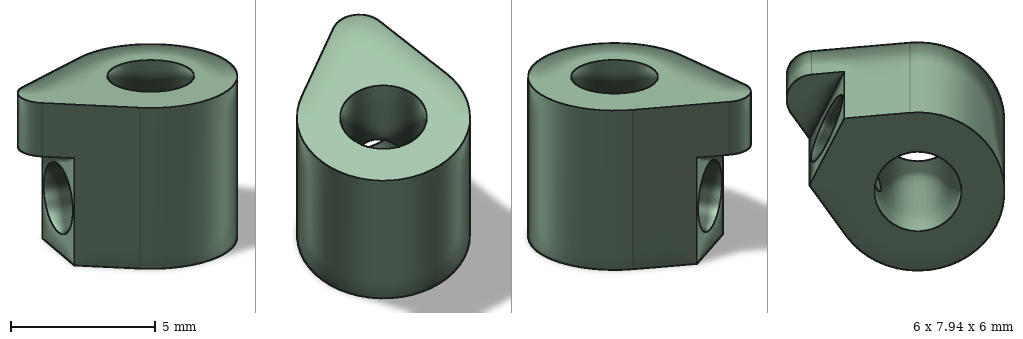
import cadquery as cq
import math

height = 6.0
barrel_radius = 3.0
bore_diameter = 3.0
overall_length = 7.94
tip_radius = 0.95
lip_thickness = 2.0
front_face_distance = 3.49
cross_hole_diameter = 2.53

tip_end_y = barrel_radius - overall_length
tip_center_y = tip_end_y + tip_radius
lip_underside = height - lip_thickness

flank_angle = math.asin((barrel_radius - tip_radius) / -tip_center_y)
flank_x = math.cos(flank_angle)
flank_y = -math.sin(flank_angle)


def teardrop_body():
    """Extruded teardrop: a large arc and a small arc joined by tangent flanks."""
    barrel_x = barrel_radius * flank_x
    barrel_y = barrel_radius * flank_y
    tip_x = tip_radius * flank_x
    tip_y = tip_center_y + tip_radius * flank_y
    return (
        cq.Workplane("XY")
        .moveTo(barrel_x, barrel_y)
        .threePointArc((0, barrel_radius), (-barrel_x, barrel_y))
        .lineTo(-tip_x, tip_y)
        .threePointArc((0, tip_end_y), (tip_x, tip_y))
        .close()
        .extrude(height)
    )


def bore():
    """Vertical bore through the full height."""
    return cq.Workplane("XY").circle(bore_diameter / 2).extrude(height)


def lip_undercut():
    """Block that removes the tip below the lip and leaves a flat front face."""
    return (
        cq.Workplane("XY")
        .moveTo(0, tip_end_y)
        .rect(2 * barrel_radius, 2 * (-tip_end_y - front_face_distance))
        .extrude(lip_underside)
    )


def cross_hole():
    """Horizontal hole from the flat front face into the bore."""
    return (
        cq.Workplane("XZ")
        .center(0, lip_underside / 2)
        .circle(cross_hole_diameter / 2)
        .extrude(front_face_distance)
    )


result = teardrop_body().cut(bore()).cut(lip_undercut()).cut(cross_hole())